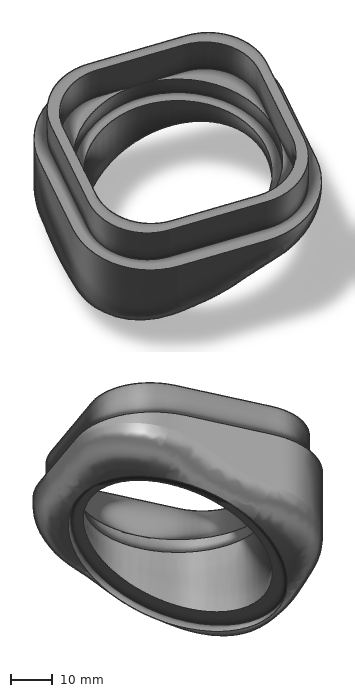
import cadquery as cq
import math

body_side = 62.0
body_corner_radius = 19.7
collar_side = 55.0
collar_corner_radius = 15.0
collar_inner_corner_radius = 14.0
collar_height = 10.0
total_height = 38.1

seat_diameter = 50.0
seat_depth = 5.0
bore_diameter = 45.0

slope_angle = 20.0
recess_diameter = 55.0
recess_depth = 2.0
bottom_fillet_radius = 9.0

slope = math.radians(slope_angle)
slope_center_height = recess_diameter / 2 * math.sin(slope)
step_height = total_height - collar_height
seat_floor_height = step_height - seat_depth
sloped_plane = cq.Plane(
    origin=(0, 0, slope_center_height),
    xDir=(1, 0, 0),
    normal=(0, -math.sin(slope), math.cos(slope)),
)


def rounded_square(side, corner_radius, base, height):
    """Square prism with rounded vertical corners, starting at Z = base."""
    block = cq.Workplane("XY").workplane(offset=base).rect(side, side).extrude(height)
    return block.edges("|Z").fillet(corner_radius)


def make_body():
    """Block cut off by the sloped plane, with a tilted round recess and a rounded lower rim."""
    block = rounded_square(body_side, body_corner_radius, -body_side, body_side + step_height)
    below_slope = cq.Workplane(sloped_plane).rect(4 * body_side, 4 * body_side).extrude(-2 * body_side)
    recess = cq.Workplane(sloped_plane).circle(recess_diameter / 2).extrude(recess_depth)
    body = block.cut(below_slope).cut(recess)
    lowest_face = cq.selectors.DirectionMinMaxSelector(sloped_plane.zDir, False)
    rim = body.faces(lowest_face).val().outerWire()
    return body.newObject(rim.Edges()).fillet(bottom_fillet_radius)


def make_collar():
    """Hollow rounded-square collar standing on the body."""
    outer = rounded_square(collar_side, collar_corner_radius, step_height, collar_height)
    inner = rounded_square(seat_diameter, collar_inner_corner_radius, step_height, collar_height)
    return outer.cut(inner)


def make_bore():
    """Through bore with a wider round seat below the collar."""
    bore = cq.Workplane("XY").circle(bore_diameter / 2).extrude(step_height)
    seat = cq.Workplane("XY").workplane(offset=seat_floor_height).circle(seat_diameter / 2).extrude(seat_depth)
    return bore.union(seat)


result = make_body().union(make_collar()).cut(make_bore())